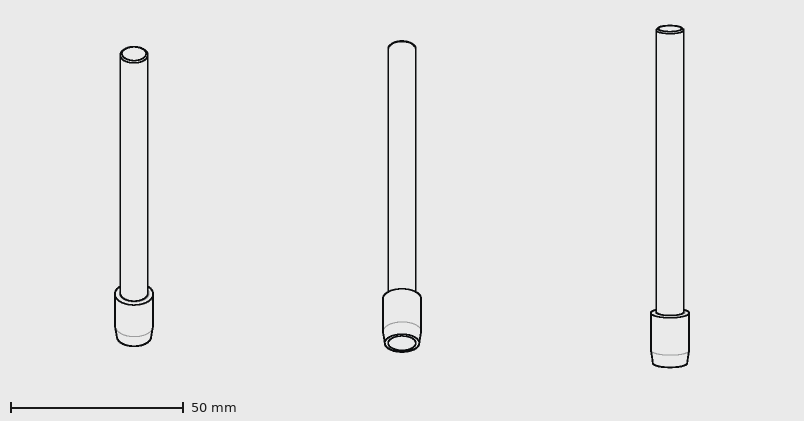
import cadquery as cq

rod_length = 100.0
rod_diameter = 8.0
rod_chamfer = 0.5

collar_diameter = 11.1
collar_height = 15.3
collar_top_rise = 0.3
collar_top_land_diameter = 8.6
taper_height = 3.9
taper_end_diameter = 10.0


def make_rod():
    """Round rod with a chamfered top edge."""
    return (
        cq.Workplane("XY")
        .circle(rod_diameter / 2)
        .extrude(rod_length)
        .faces(">Z")
        .chamfer(rod_chamfer)
    )


def make_collar():
    """Ring bored to fit the rod, tapered below and gently sloped on top around a flat land."""
    bore_radius = rod_diameter / 2
    outer_radius = collar_diameter / 2
    return (
        cq.Workplane("XZ")
        .moveTo(bore_radius, 0)
        .lineTo(taper_end_diameter / 2, 0)
        .lineTo(outer_radius, taper_height)
        .lineTo(outer_radius, collar_height - collar_top_rise)
        .lineTo(collar_top_land_diameter / 2, collar_height)
        .lineTo(bore_radius, collar_height)
        .close()
        .revolve(360, (0, 0, 0), (0, 1, 0))
    )


rod = make_rod()
collar = make_collar()

result = cq.Compound.makeCompound([rod.val(), collar.val()])